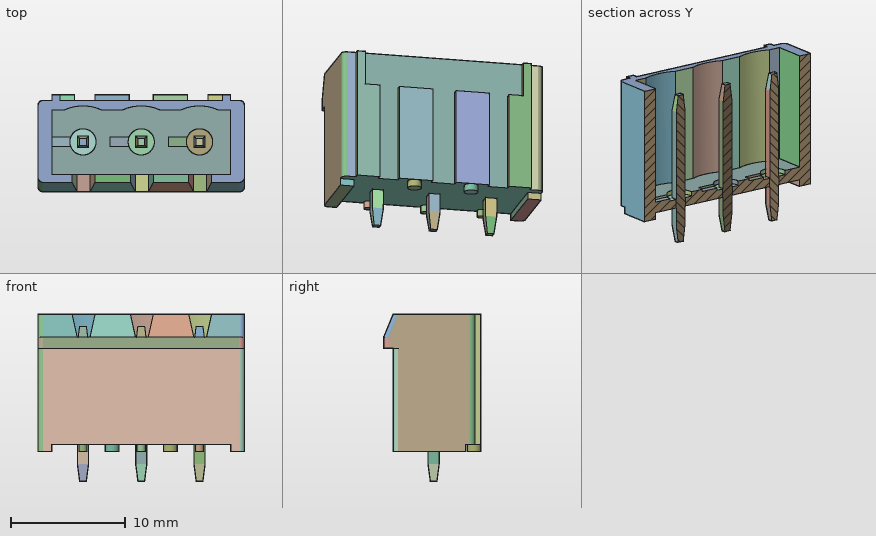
import cadquery as cq
import math


LENGTH = 18.04
BODY_DEPTH = 7.16
HEIGHT = 12.0
CORNER_RADIUS = 0.45
BACK_Y = 3.63
FRONT_Y = BACK_Y - BODY_DEPTH

LIP_REACH = 0.83
LIP_HEIGHT = 3.0
LIP_SLOPE_HEIGHT = 2.0
LIP_BOTTOM_Z = HEIGHT - LIP_HEIGHT
LIP_EDGE_Z = HEIGHT - LIP_SLOPE_HEIGHT
LIP_FRONT_Y = FRONT_Y - LIP_REACH

PIN_COUNT = 3
PIN_PITCH = 5.09
PIN_XS = [(i - (PIN_COUNT - 1) / 2) * PIN_PITCH for i in range(PIN_COUNT)]
BETWEEN_PIN_XS = [x + PIN_PITCH / 2 for x in PIN_XS[:-1]]

PIN_WIDTH = 1.0
PIN_TIP_WIDTH = 0.6
PIN_TAPER = 1.5
PIN_BOTTOM_Z = -2.6
PIN_TIP_BELOW_RIM = 1.1
PIN_TOP_Z = HEIGHT - PIN_TIP_BELOW_RIM

STANDOFF = 0.6
FOOT_WIDTH = 1.2
SMALL_PEG_DIAMETER = 0.7
LARGE_PEG_DIAMETER = 1.2

END_WALL = 1.2
BACK_WALL = 0.83
FRONT_WALL = 0.69
FLOOR_THICKNESS = 1.2
FLOOR_Z = STANDOFF + FLOOR_THICKNESS
CAVITY_LENGTH = LENGTH - 2 * END_WALL
CAVITY_FRONT_Y = FRONT_Y + FRONT_WALL
CAVITY_BACK_Y = BACK_Y - BACK_WALL
SCALLOP_WIDTH = 3.23
SCALLOP_DEPTH = 0.35
SCALLOP_RADIUS = ((SCALLOP_WIDTH / 2) ** 2 + SCALLOP_DEPTH**2) / (2 * SCALLOP_DEPTH)

WELL_DIAMETER = 2.3
WELL_DEPTH = 0.4
GROOVE_REACH = CAVITY_LENGTH / 2 - PIN_PITCH
GROOVE_WIDTH = 0.85
GROOVE_DEPTH = 0.2

NOTCH_TOP_WIDTH = 2.0
NOTCH_BOTTOM_WIDTH = 1.12
NOTCH_OFFSET = 0.05

RIB_DEPTH = 0.5
RIB_WIDTH = 3.0
RIB_TOP_Z = LIP_BOTTOM_Z
END_RIB_WIDTH = 2.0
TALL_RIB_WIDTH = 0.72
RIB_BACK_Y = BACK_Y + RIB_DEPTH


def block(x_min, x_max, y_min, y_max, z_min, z_max):
    """Box between the given limits."""
    size = (x_max - x_min, y_max - y_min, z_max - z_min)
    return cq.Workplane("XY").box(*size, centered=False).translate((x_min, y_min, z_min))


def upright_cylinder(x, y, diameter, z_min, z_max):
    """Cylinder along Z between two heights."""
    return cq.Workplane("XY", origin=(x, y, z_min)).circle(diameter / 2).extrude(z_max - z_min)


def make_shell():
    """Solid outer block with the sloped front lip and rounded corners."""
    profile = [
        (BACK_Y, 0),
        (FRONT_Y, 0),
        (FRONT_Y, LIP_BOTTOM_Z),
        (LIP_FRONT_Y, LIP_BOTTOM_Z),
        (LIP_FRONT_Y, LIP_EDGE_Z),
        (FRONT_Y, HEIGHT),
        (BACK_Y, HEIGHT),
    ]
    shell = cq.Workplane("YZ").polyline(profile).close().extrude(LENGTH / 2, both=True)
    sloped_edge = cq.Vector(0, LIP_REACH, LIP_SLOPE_HEIGHT)
    corner_edges = shell.edges("|Z").add(shell.edges(cq.selectors.ParallelDirSelector(sloped_edge)))
    return corner_edges.fillet(CORNER_RADIUS)


def make_underside_recess():
    """Cut between the two feet and across the full length behind them."""
    foot_inner_x = LENGTH / 2 - FOOT_WIDTH
    between_feet = block(-foot_inner_x, foot_inner_x, FRONT_Y, BACK_Y, 0, STANDOFF)
    behind_feet = block(-LENGTH / 2, LENGTH / 2, CAVITY_BACK_Y, BACK_Y, 0, STANDOFF)
    return between_feet.union(behind_feet)


def make_cavity():
    """Open-topped cavity whose back wall has a shallow arc behind each pin."""
    half_length = CAVITY_LENGTH / 2
    cavity = block(-half_length, half_length, CAVITY_FRONT_Y, CAVITY_BACK_Y, FLOOR_Z, HEIGHT)
    scallop_center_y = CAVITY_BACK_Y + SCALLOP_DEPTH - SCALLOP_RADIUS
    for x in PIN_XS:
        arc = upright_cylinder(x, scallop_center_y, 2 * SCALLOP_RADIUS, FLOOR_Z, HEIGHT)
        behind_cavity = block(
            x - SCALLOP_WIDTH / 2, x + SCALLOP_WIDTH / 2, CAVITY_BACK_Y, BACK_Y, FLOOR_Z, HEIGHT
        )
        cavity = cavity.union(arc.intersect(behind_cavity))
    return cavity


def make_floor_recess(x):
    """Round well around a pin, with a shallower groove leading away to -X."""
    well = upright_cylinder(x, 0, WELL_DIAMETER, FLOOR_Z - WELL_DEPTH, FLOOR_Z)
    groove = block(
        x - GROOVE_REACH, x, -GROOVE_WIDTH / 2, GROOVE_WIDTH / 2, FLOOR_Z - GROOVE_DEPTH, FLOOR_Z
    )
    return well.union(groove)


def make_notch(pin_x):
    """Tapered notch through the front wall and the sloped part of the lip."""
    x = pin_x + NOTCH_OFFSET
    outline = [
        (x - NOTCH_BOTTOM_WIDTH / 2, LIP_EDGE_Z),
        (x + NOTCH_BOTTOM_WIDTH / 2, LIP_EDGE_Z),
        (x + NOTCH_TOP_WIDTH / 2, HEIGHT),
        (x - NOTCH_TOP_WIDTH / 2, HEIGHT),
    ]
    plane = cq.Workplane("XZ", origin=(0, CAVITY_FRONT_Y, 0))
    return plane.polyline(outline).close().extrude(CAVITY_FRONT_Y - LIP_FRONT_Y)


def make_back_ribs():
    """Wide ribs between the pins, and a stepped rib in line with each end of the cavity."""
    ribs = cq.Workplane("XY")
    for x in BETWEEN_PIN_XS:
        half = RIB_WIDTH / 2
        ribs = ribs.add(block(x - half, x + half, BACK_Y, RIB_BACK_Y, STANDOFF, RIB_TOP_Z))
    outer_x = CAVITY_LENGTH / 2
    low_rib = block(outer_x - END_RIB_WIDTH, outer_x, BACK_Y, RIB_BACK_Y, STANDOFF, RIB_TOP_Z)
    tall_rib = block(outer_x - TALL_RIB_WIDTH, outer_x, BACK_Y, RIB_BACK_Y, STANDOFF, HEIGHT)
    end_rib = low_rib.union(tall_rib)
    return ribs.add(end_rib).add(end_rib.mirror("YZ")).combine()


def make_pegs():
    """Small pegs at the front, in line with the pins, and large ones at the back between them."""
    pegs = cq.Workplane("XY")
    small_peg_y = FRONT_Y + SMALL_PEG_DIAMETER / 2
    for x in PIN_XS:
        pegs = pegs.add(upright_cylinder(x, small_peg_y, SMALL_PEG_DIAMETER, 0, STANDOFF))
    large_peg_y = RIB_BACK_Y - LARGE_PEG_DIAMETER / 2
    for x in BETWEEN_PIN_XS:
        pegs = pegs.add(upright_cylinder(x, large_peg_y, LARGE_PEG_DIAMETER, 0, STANDOFF))
    return pegs.combine()


def make_pin(x):
    """Square pin with a tapered point at both ends."""
    shaft_bottom_z = PIN_BOTTOM_Z + PIN_TAPER
    shaft_top_z = PIN_TOP_Z - PIN_TAPER
    taper_angle = math.degrees(math.atan((PIN_WIDTH - PIN_TIP_WIDTH) / 2 / PIN_TAPER))
    shaft = cq.Workplane("XY", origin=(x, 0, shaft_bottom_z)).rect(PIN_WIDTH, PIN_WIDTH)
    pin = shaft.extrude(shaft_top_z - shaft_bottom_z)
    pin = pin.faces(">Z").wires().toPending().extrude(PIN_TAPER, taper=taper_angle)
    return pin.faces("<Z").wires().toPending().extrude(-PIN_TAPER, taper=taper_angle)


def make_housing(pins):
    """Complete housing with holes that match the pins."""
    housing = make_shell().cut(make_underside_recess()).cut(make_cavity())
    for x in PIN_XS:
        housing = housing.cut(make_floor_recess(x)).cut(make_notch(x))
    housing = housing.union(make_back_ribs()).union(make_pegs())
    for pin in pins:
        housing = housing.cut(pin)
    return housing


pins = [make_pin(x) for x in PIN_XS]
housing = make_housing(pins)

result = cq.Compound.makeCompound([housing.val(), *[pin.val() for pin in pins]])